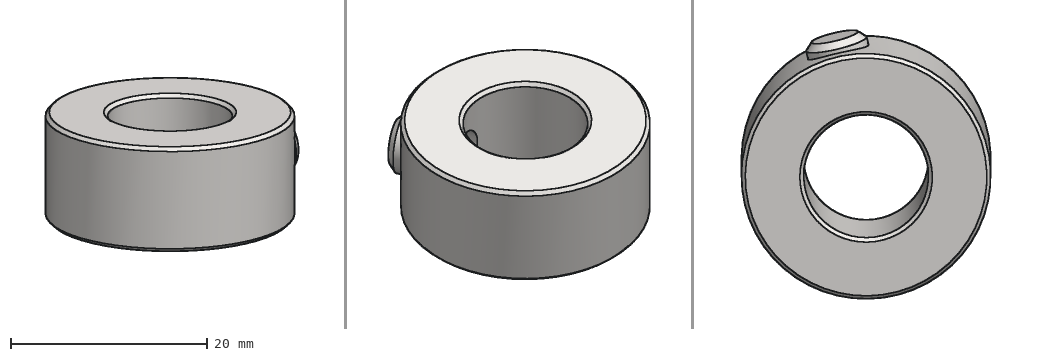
import cadquery as cq

collar_diameter = 25.4
bore_diameter = collar_diameter / 2
collar_height = 11.15
edge_chamfer = 0.4

overall_length = 26.58
screw_diameter = collar_diameter / 4
screw_chamfer = 0.75
screw_outer_y = overall_length - collar_diameter / 2
screw_inner_y = 7.7
tip_hole_diameter = 4.97


def radial_cylinder(diameter, start_y, end_y):
    """Cylinder along Y between two distances from the collar axis."""
    return (
        cq.Workplane("XZ", origin=(0, end_y, 0))
        .circle(diameter / 2)
        .extrude(end_y - start_y)
    )


def make_collar():
    """Chamfered ring with a stepped radial hole that seats the set screw."""
    ring = (
        cq.Workplane("XY", origin=(0, 0, -collar_height / 2))
        .circle(collar_diameter / 2)
        .circle(bore_diameter / 2)
        .extrude(collar_height)
        .faces("|Z")
        .edges()
        .chamfer(edge_chamfer)
    )
    screw_hole = radial_cylinder(screw_diameter, screw_inner_y, screw_outer_y)
    tip_hole = radial_cylinder(tip_hole_diameter, 0, screw_inner_y)
    return ring.cut(screw_hole).cut(tip_hole)


def make_set_screw():
    """Plain cylinder with a chamfer on its outer end."""
    return (
        radial_cylinder(screw_diameter, screw_inner_y, screw_outer_y)
        .faces(">Y")
        .edges()
        .chamfer(screw_chamfer)
    )


collar = make_collar()
set_screw = make_set_screw()

result = cq.Compound.makeCompound([collar.val(), set_screw.val()])